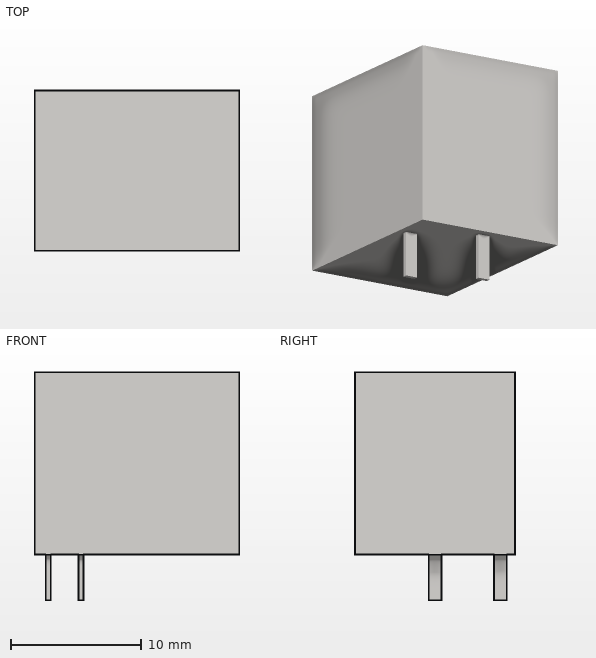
import cadquery as cq

housing_length = 15.7
housing_width = 12.3
housing_height = 14.0

pin_thickness = 0.4
pin_width = 1.0
pin_length = 3.5
pin_pitch_x = 2.5
pin_pitch_y = 2 * pin_pitch_x
first_pin_x = 1.05
first_pin_y = 6.16

pin_centers = [
    (first_pin_x, first_pin_y),
    (first_pin_x + pin_pitch_x, first_pin_y + pin_pitch_y),
]


def make_housing():
    """Plain block with its -X, -Y bottom corner at the origin."""
    return cq.Workplane("XY").box(housing_length, housing_width, housing_height, centered=False)


def make_pin(x, y):
    """Flat pin hanging from the underside of the housing."""
    return (
        cq.Workplane("XY")
        .center(x, y)
        .rect(pin_thickness, pin_width)
        .extrude(-pin_length)
    )


housing = make_housing()
pins = [make_pin(x, y).val() for x, y in pin_centers]

result = cq.Compound.makeCompound([housing.val(), *pins])